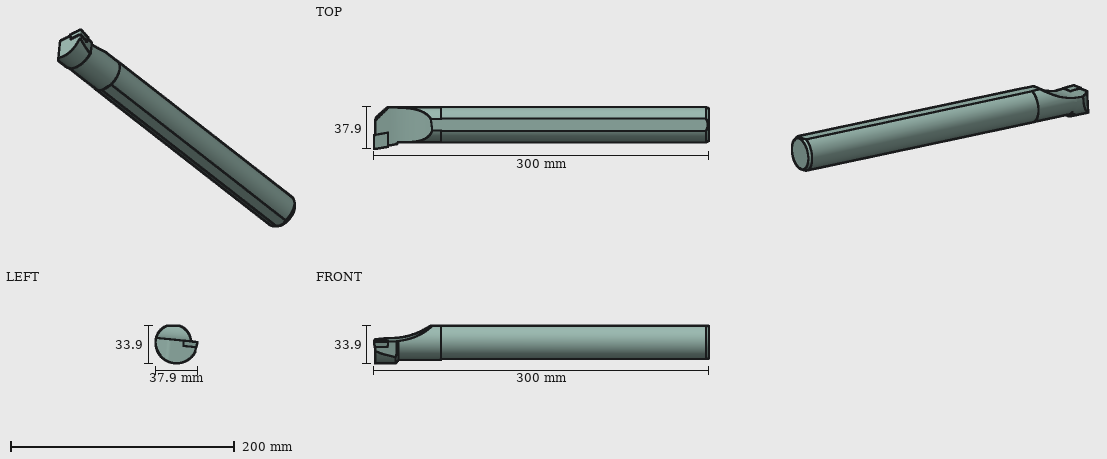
import cadquery as cq
import math

bar_length = 300.0
shank_radius = 16.0
flat_height = 15.0
neck_radius = 15.8
neck_end_x = 60.0
end_chamfer_length = 3.0
end_chamfer_angle = 30.0
end_chamfer_depth = end_chamfer_length * math.tan(math.radians(end_chamfer_angle))

head_radius = 18.85
head_center_y = shank_radius - head_radius
head_face_x = 1.1
head_taper_start_x = 19.3
head_taper_end_x = 22.0
side_end_x = 20.0
side_setback = 1.0
lead_corner_y = 25.7
lead_corner_radius = 5.0
tip_corner_radius = 1.0

tip_y = -21.85
tip_z = 0.3
rake_angle = 5.7
relief_radius = 57.0
relief_start_x = 16.0
relief_sweep = 60.0

insert_edge = 12.8
insert_side_angle = 10.0
insert_thickness = 4.76
clearance_angle = 7.0
nose_radius = 0.8

margin = 60.0

side_slope = math.tan(math.radians(insert_side_angle))
rake_plane = cq.Plane(origin=(0, tip_y, tip_z)).rotated((rake_angle, 0, 0))


def round_bar(start_x, end_x, radius):
    return cq.Workplane("YZ", origin=(start_x, 0, 0)).circle(radius).extrude(end_x - start_x)


def slab_above(start_x, end_x, z):
    """Block that removes everything above height z."""
    return cq.Workplane("XY").box(
        end_x - start_x, margin, margin, centered=(False, True, False)
    ).translate((start_x, 0, z))


def edge_near(x, y, z):
    """Selector for the edge closest to a point given in the rake plane's own axes."""
    return cq.NearestToPointSelector(rake_plane.toWorldCoords((x, y, z)))


def make_shank():
    shank = round_bar(neck_end_x, bar_length, shank_radius)
    shank = shank.faces(">X").chamfer(end_chamfer_length, end_chamfer_depth)
    bottom_flat = slab_above(neck_end_x, bar_length, flat_height).mirror("XY")
    return shank.cut(bottom_flat)


def make_head_blank():
    """Offset round that tapers into the neck."""
    head = (
        cq.Workplane("YZ", origin=(head_face_x, 0, 0))
        .center(head_center_y, 0)
        .circle(head_radius)
        .extrude(head_taper_start_x - head_face_x)
    )
    taper = (
        cq.Workplane("YZ", origin=(head_taper_start_x, 0, 0))
        .center(head_center_y, 0)
        .circle(head_radius)
        .workplane(offset=head_taper_end_x - head_taper_start_x)
        .center(-head_center_y, 0)
        .circle(neck_radius)
        .loft(ruled=True)
    )
    return head.union(taper)


def make_rake_cutter():
    """Space above the rake plane and its run-out arc, swept along the tilt."""

    def arc_point(angle):
        return (
            relief_start_x + relief_radius * math.sin(angle),
            relief_radius * (1 - math.cos(angle)),
        )

    sweep = math.radians(relief_sweep)
    arc_end = arc_point(sweep)
    profile_plane = cq.Plane(
        origin=rake_plane.origin, xDir=(1, 0, 0), normal=-rake_plane.yDir
    )
    return (
        cq.Workplane(profile_plane)
        .moveTo(-margin, 0)
        .lineTo(relief_start_x, 0)
        .threePointArc(arc_point(sweep / 2), arc_end)
        .lineTo(-margin, arc_end[1])
        .close()
        .extrude(margin, both=True)
    )


def make_head_outline():
    """Prism square to the rake plane that trims the end and sides of the head."""
    side_end_y = side_setback + (side_end_x - head_face_x) * side_slope
    bevel_end_y = side_end_y + head_taper_end_x - side_end_x
    tip_corner = (head_face_x, side_setback)
    lead_corner = (head_face_x, lead_corner_y)
    outline = [
        tip_corner,
        (side_end_x, side_end_y),
        (head_taper_end_x, bevel_end_y),
        (head_taper_end_x, -margin),
        (bar_length, -margin),
        (bar_length, lead_corner_y + margin),
        (head_face_x + margin, lead_corner_y + margin),
        lead_corner,
    ]
    prism = cq.Workplane(rake_plane).polyline(outline).close().extrude(margin, both=True)
    prism = prism.edges(edge_near(*tip_corner, 0)).fillet(tip_corner_radius)
    return prism.edges(edge_near(*lead_corner, 0)).fillet(lead_corner_radius)


def make_insert():
    rise = insert_edge * side_slope
    corner_angle = math.radians(90 - insert_side_angle)
    nose_tangent = nose_radius / math.tan(corner_angle / 2)
    corner_y = nose_radius - nose_tangent
    plate = (
        cq.Workplane(rake_plane)
        .polyline([
            (0, corner_y),
            (insert_edge, corner_y + rise),
            (insert_edge, corner_y + rise + insert_edge),
            (0, corner_y + insert_edge),
        ])
        .close()
        .extrude(-insert_thickness, taper=clearance_angle)
    )
    return plate.edges(edge_near(0, corner_y, -insert_thickness / 2)).fillet(nose_radius)


insert = make_insert()

neck = round_bar(head_face_x, neck_end_x, neck_radius)
bar = neck.union(make_head_blank()).union(make_shank())
bar = bar.cut(slab_above(0, bar_length, flat_height))
bar = bar.cut(make_rake_cutter())
bar = bar.intersect(make_head_outline())
bar = bar.cut(insert)

result = cq.Compound.makeCompound([bar.solids().val(), insert.solids().val()])